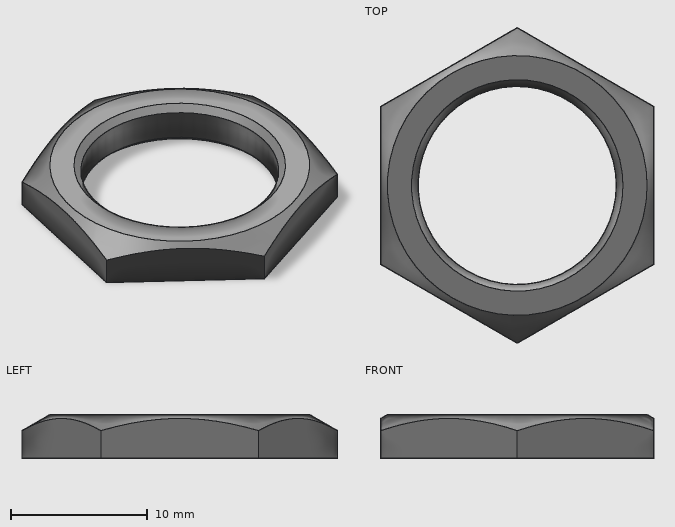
import cadquery as cq
import math

across_corners = 23.1
thickness = 3.2

top_face_diameter = 19.0
bevel_angle = 30.0

bore_diameter = 14.48
countersink_diameter = 15.47
countersink_depth = (countersink_diameter - bore_diameter) / 2


def make_hexagon():
    hexagon = cq.Workplane("XY").polygon(6, across_corners).extrude(thickness)
    return hexagon.rotate((0, 0, 0), (0, 0, 1), 90)


def make_bevel_envelope():
    """Body of revolution whose sloped rim meets the hexagon corners."""
    corner_radius = across_corners / 2
    top_radius = top_face_diameter / 2
    rim_radius = corner_radius + thickness / 10
    bevel_drop = (rim_radius - top_radius) * math.tan(math.radians(bevel_angle))
    return (
        cq.Workplane("XZ")
        .lineTo(rim_radius, 0)
        .lineTo(rim_radius, thickness - bevel_drop)
        .lineTo(top_radius, thickness)
        .lineTo(0, thickness)
        .close()
        .revolve(360, (0, 0), (0, 1))
    )


def make_countersunk_bore():
    bore_radius = bore_diameter / 2
    mouth_radius = countersink_diameter / 2
    return (
        cq.Workplane("XZ")
        .lineTo(mouth_radius, 0)
        .lineTo(bore_radius, countersink_depth)
        .lineTo(bore_radius, thickness - countersink_depth)
        .lineTo(mouth_radius, thickness)
        .lineTo(0, thickness)
        .close()
        .revolve(360, (0, 0), (0, 1))
    )


result = make_hexagon().intersect(make_bevel_envelope()).cut(make_countersunk_bore())